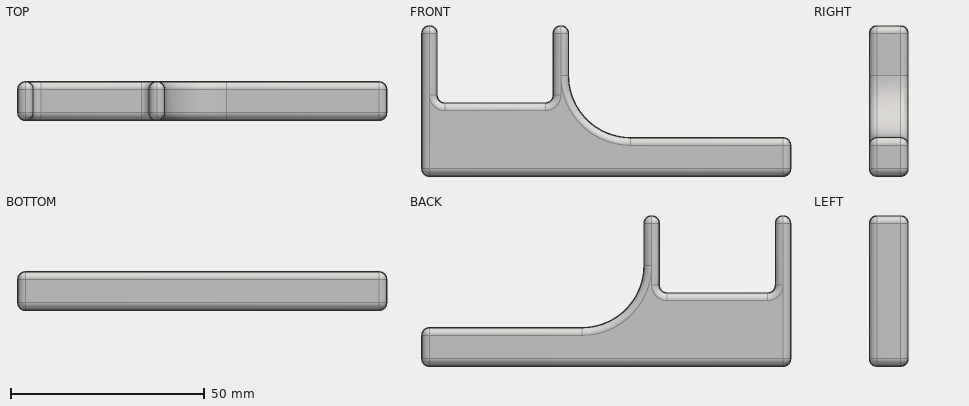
import cadquery as cq

length = 95.5
depth = 10.0
height = 39.0

prong_width = 4.0
prong_gap = 30.0
shelf_height = 19.0
arm_height = 10.0
shelf_corner_radius = 2.0
arm_sweep_radius = 16.0

round_clearance = 0.001
edge_radius = prong_width / 2 - round_clearance

gap_start = prong_width
gap_end = gap_start + prong_gap
second_prong_end = gap_end + prong_width


def hook_profile():
    """Closed side outline in the XZ plane, with its lower left corner at the origin."""
    return (
        cq.Workplane("XZ")
        .lineTo(length, 0)
        .lineTo(length, arm_height)
        .lineTo(second_prong_end + arm_sweep_radius, arm_height)
        .radiusArc((second_prong_end, arm_height + arm_sweep_radius), arm_sweep_radius)
        .lineTo(second_prong_end, height)
        .lineTo(gap_end, height)
        .lineTo(gap_end, shelf_height + shelf_corner_radius)
        .radiusArc((gap_end - shelf_corner_radius, shelf_height), shelf_corner_radius)
        .lineTo(gap_start + shelf_corner_radius, shelf_height)
        .radiusArc((gap_start, shelf_height + shelf_corner_radius), shelf_corner_radius)
        .lineTo(gap_start, height)
        .lineTo(0, height)
        .close()
    )


body = hook_profile().extrude(depth)

outer_faces = body.faces("<X or >X or <Y or >Y or <Z or >Z")
result = outer_faces.edges().fillet(edge_radius)